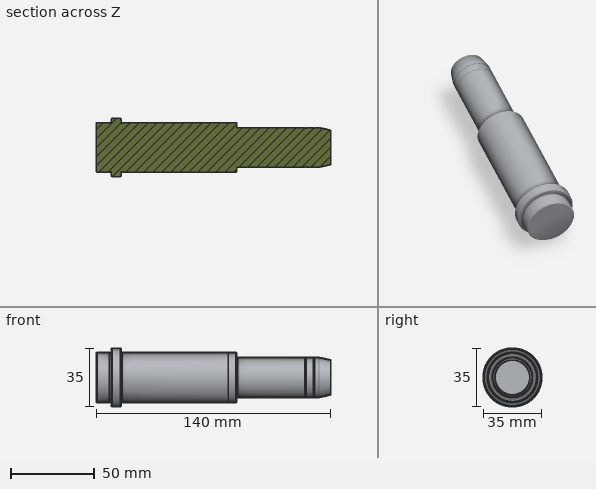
import cadquery as cq

total_length = 140.0
body_diameter = 30.0
collar_diameter = 35.0
pin_diameter = 24.0
tip_diameter = 20.7

collar_start = 9.0
collar_width = 6.0
body_end = 84.0
fit_land_length = 5.0
land_clearance = 0.03
nose_length = 7.1
nose_bulge = 0.1
edge_chamfer = 0.5

head_groove_width = 1.3
body_groove_width = 0.7
relief_depth = 0.4
shoulder_groove_width = 0.4
shoulder_groove_depth = 0.1

pin_groove_starts = (124.6, 129.6)
pin_groove_width = 0.8
pin_groove_depth = 0.3

collar_end = collar_start + collar_width
nose_start = total_length - nose_length
pin_radius = pin_diameter / 2


def cylinder(start, end, diameter):
    """Solid cylinder along X between two stations."""
    return cq.Workplane("YZ", origin=(start, 0, 0)).circle(diameter / 2).extrude(end - start)


def ring_cut(start, width, diameter, depth):
    """Rectangular ring that cuts a groove into a cylinder of the given diameter."""
    outer = cylinder(start, start + width, diameter + 2 * depth)
    return outer.cut(cylinder(start, start + width, diameter - 2 * depth))


def tapered_relief(outer_station, collar_station):
    """Ring whose floor slopes down from the body surface to the collar face."""
    radius = body_diameter / 2
    return (
        cq.Workplane("XY")
        .moveTo(outer_station, radius)
        .lineTo(collar_station, radius)
        .lineTo(collar_station, radius - relief_depth)
        .close()
        .revolve(360, (0, 0, 0), (1, 0, 0))
    )


land_start = body_end - fit_land_length
body = cylinder(0, land_start, body_diameter).faces("<X").chamfer(edge_chamfer)
land = cylinder(land_start, body_end, body_diameter - land_clearance).faces(">X").chamfer(edge_chamfer)

body = body.cut(tapered_relief(collar_start - head_groove_width, collar_start))
body = body.cut(tapered_relief(collar_end + body_groove_width, collar_end))

collar = cylinder(collar_start, collar_end, collar_diameter).faces("<X or >X").chamfer(edge_chamfer)

nose_middle = (nose_start + nose_length / 2, (pin_radius + tip_diameter / 2) / 2 + nose_bulge)
pin = (
    cq.Workplane("XY")
    .moveTo(body_end, 0)
    .lineTo(body_end, pin_radius)
    .lineTo(nose_start, pin_radius)
    .threePointArc(nose_middle, (total_length, tip_diameter / 2))
    .lineTo(total_length, 0)
    .close()
    .revolve(360, (0, 0, 0), (1, 0, 0))
)
pin = pin.cut(ring_cut(body_end, shoulder_groove_width, pin_diameter, shoulder_groove_depth))
for groove_start in pin_groove_starts:
    pin = pin.cut(ring_cut(groove_start, pin_groove_width, pin_diameter, pin_groove_depth))

result = body.union(land).union(collar).union(pin)